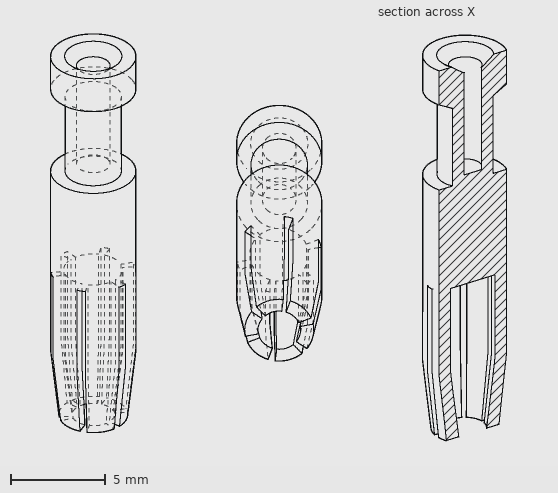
import cadquery as cq
import math

total_height = 22.2
head_height = 2.05
head_cone_height = 0.45
shoulder_z = 15.1
slot_top_z = 9.0
taper_top_z = 4.0
socket_top_z = slot_top_z

body_radius = 2.253
neck_radius = 1.49
tip_radius = 1.82
socket_radius = 1.55
cup_mouth_radius = 1.5
cup_radius = 0.89

countersink_depth = 0.58
cup_depth = 6.65

slot_angle = 12.0
finger_count = 6
slot_reach = 2.66

socket_tip_radius = socket_radius - (body_radius - tip_radius)
head_bottom_z = total_height - head_height
neck_top_z = head_bottom_z - head_cone_height


def revolve_profile(points):
    """Revolve a closed (radius, z) outline around the Z axis."""
    return cq.Workplane("XZ").polyline(points).close().revolve(360, (0, 0, 0), (0, 1, 0))


def make_body():
    return revolve_profile([
        (0, 0),
        (tip_radius, 0),
        (body_radius, taper_top_z),
        (body_radius, shoulder_z),
        (neck_radius, shoulder_z),
        (neck_radius, neck_top_z),
        (body_radius, head_bottom_z),
        (body_radius, total_height),
        (0, total_height),
    ])


def make_solder_cup():
    return revolve_profile([
        (0, total_height),
        (cup_mouth_radius, total_height),
        (cup_radius, total_height - countersink_depth),
        (cup_radius, total_height - cup_depth),
        (0, total_height - cup_depth),
    ])


def make_socket():
    return revolve_profile([
        (0, 0),
        (socket_tip_radius, 0),
        (socket_radius, taper_top_z),
        (socket_radius, socket_top_z),
        (0, socket_top_z),
    ])


def make_slots():
    """Wedge slots, spaced evenly around the axis, whose walls all point at the axis."""
    half_width = slot_reach * math.tan(math.radians(slot_angle / 2))
    wedge = (
        cq.Workplane("XY")
        .polyline([(0, 0), (-half_width, -slot_reach), (half_width, -slot_reach)])
        .close()
        .extrude(slot_top_z)
    )
    slots = cq.Workplane("XY")
    for index in range(finger_count):
        slots = slots.add(wedge.rotate((0, 0, 0), (0, 0, 1), index * 360 / finger_count))
    return slots.combine()


result = make_body().cut(make_solder_cup()).cut(make_socket()).cut(make_slots())